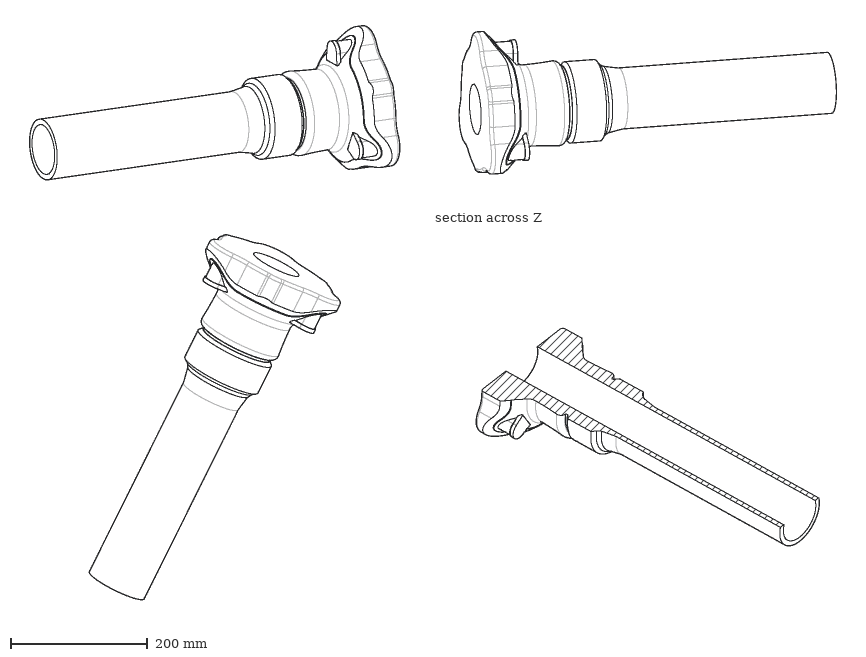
import cadquery as cq
import math


TOTAL_LENGTH = 533.51
PIPE_DIAMETER = 90.0
BORE_DIAMETER = 73.6

LOBE_COUNT = 3
LOBE_STEP = 360.0 / LOBE_COUNT
LOBE_TIP_RADIUS = 117.4
LOBE_RADIUS = 34.6
LOBE_FILLET = 46.0
FLANGE_RADIUS = 93.6
POINT_TIP_RADIUS = 96.45
POINT_RADIUS = 20.0
POINT_FILLET = 10.0
BACK_EDGE_FILLET = 5.0
FIRST_LOBE_ANGLE = 90.0

RIM_CONE_DEPTH = 131.0
HUB_STEP = 1.4
HUB_CONE_DEPTH = RIM_CONE_DEPTH - HUB_STEP
RIM_WIDTH = 12.0

LUG_RADIUS = 13.8
LUG_TIP_RADIUS = 100.4
LUG_PLATE_RADIUS = 15.4
LUG_PLATE_FOOT_WIDTH = 34.5
LUG_FOOT_RADIUS = 69.0
LUG_START_DEPTH = 20.0
LUG_PLATE_DEPTH = 53.7
LUG_END_DEPTH = 60.3

NECK_RADIUS = 60.0
NECK_FILLET_START = 64.8
NECK_FILLET_END = 77.7
NECK_FILLET_MIDDLE = (61.0, -70.5)
BULGE_RADIUS = 62.5
BULGE_RISE_MIDDLE = (60.8, -99.0)
BULGE_DEPTH = 119.7
BULGE_EDGE_MIDDLE = (60.4, -126.7)
BULGE_END_RADIUS = 55.0
BULGE_END_DEPTH = 129.3
GROOVE_RADIUS = 107.0 / 2
GROOVE_END_DEPTH = 133.5
COLLAR_RADIUS = 120.0 / 2
COLLAR_START_DEPTH = 138.9
COLLAR_END_DEPTH = 183.5
COLLAR_EDGE = 5.2
COLLAR_FOOT_RADIUS = 53.3
COLLAR_FOOT_DEPTH = 188.6
FLARE_DEPTH = 195.0
FLARE_RADIUS = 49.5
FLARE_MIDDLE = (47.1, -207.0)
FLARE_END_DEPTH = 219.0


def around_axis(solid):
    """One copy of the solid for each lobe."""
    return [solid.rotate((0, 0, 0), (0, 1, 0), i * LOBE_STEP) for i in range(LOBE_COUNT)]


def polar(radius, angle):
    """Point (X, Z) at a radius from the axis and an angle in degrees from +X toward +Z."""
    return radius * math.cos(math.radians(angle)), radius * math.sin(math.radians(angle))


def toward(start, target, length):
    """Point at a length from the start in the direction of the target."""
    share = length / math.dist(start, target)
    return start[0] + share * (target[0] - start[0]), start[1] + share * (target[1] - start[1])


def midpoint(start, end):
    return (start[0] + end[0]) / 2, (start[1] + end[1]) / 2


def hollow_arc(circle_radius, angle, tip_radius, bump_radius, fillet, side):
    """Arc tangent to a circle around the axis and to a round bump on it.

    side is -1 before the bump and +1 after it. Returns the end on the circle, the middle of
    the arc and the end on the bump.
    """
    bump_distance = tip_radius - bump_radius
    arc_distance = circle_radius + fillet
    cosine = (arc_distance**2 + bump_distance**2 - (bump_radius + fillet) ** 2) / (
        2 * arc_distance * bump_distance
    )
    arc_angle = angle + side * math.degrees(math.acos(cosine))
    arc_center = polar(arc_distance, arc_angle)
    bump_center = polar(bump_distance, angle)
    circle_end = polar(circle_radius, arc_angle)
    bump_end = toward(bump_center, arc_center, bump_radius)
    middle = toward(arc_center, midpoint(circle_end, bump_end), fillet)
    return circle_end, middle, bump_end


def bumpy_outline(circle_radius, bumps):
    """Closed outline: a circle with bumps, each joined to the circle by hollow arcs.

    Each bump holds its angle, tip radius, own radius and hollow radius, in order of angle.
    """
    start = hollow_arc(circle_radius, *bumps[0], -1)[0]
    outline = cq.Workplane("XZ").moveTo(*start)
    for bump, next_bump in zip(bumps, bumps[1:] + bumps[:1]):
        angle, tip_radius = bump[:2]
        rise_middle, rise_end = hollow_arc(circle_radius, *bump, -1)[1:]
        circle_start, fall_middle, fall_start = hollow_arc(circle_radius, *bump, 1)
        circle_end = hollow_arc(circle_radius, *next_bump, -1)[0]
        circle_middle = toward((0, 0), midpoint(circle_start, circle_end), circle_radius)
        outline = outline.threePointArc(rise_middle, rise_end)
        outline = outline.threePointArc(polar(tip_radius, angle), fall_start)
        outline = outline.threePointArc(fall_middle, circle_start)
        outline = outline.threePointArc(circle_middle, circle_end)
    return outline.close()


def flange_outline():
    """Lobes and small points in turn around the flange circle."""
    bumps = []
    for i in range(LOBE_COUNT):
        angle = FIRST_LOBE_ANGLE + i * LOBE_STEP
        bumps.append((angle, LOBE_TIP_RADIUS, LOBE_RADIUS, LOBE_FILLET))
        bumps.append((angle + LOBE_STEP / 2, POINT_TIP_RADIUS, POINT_RADIUS, POINT_FILLET))
    return bumpy_outline(FLANGE_RADIUS, bumps)


def hub_outline():
    """Flange outline moved inward by the rim width, without the small points."""
    bumps = [
        (
            FIRST_LOBE_ANGLE + i * LOBE_STEP,
            LOBE_TIP_RADIUS - RIM_WIDTH,
            LOBE_RADIUS - RIM_WIDTH,
            LOBE_FILLET + RIM_WIDTH,
        )
        for i in range(LOBE_COUNT)
    ]
    return bumpy_outline(FLANGE_RADIUS - RIM_WIDTH, bumps)


def cone(apex_depth):
    """45 degree cone whose base lies at Y = 0 and whose apex points toward -Y."""
    profile = cq.Workplane("XY").polyline([(0, 0), (apex_depth, 0), (0, -apex_depth)])
    return profile.close().revolve(360, (0, 0, 0), (0, 1, 0))


def make_flange():
    """Lobed plate with a conical front: a rim and, slightly behind it, the hub face."""
    flange = flange_outline().extrude(NECK_FILLET_START)
    flange = flange.faces(">Y").edges().fillet(BACK_EDGE_FILLET)
    flange = flange.intersect(cone(RIM_CONE_DEPTH))
    recess = hub_outline().extrude(NECK_FILLET_START).cut(cone(HUB_CONE_DEPTH))
    return flange.cut(recess)


def make_lug():
    """Lug along +Z with a round outer end, ended by a wider plate."""
    body_top = LUG_TIP_RADIUS - LUG_RADIUS
    body = (
        cq.Workplane("XZ", origin=(0, -LUG_START_DEPTH, 0))
        .moveTo(-LUG_RADIUS, LUG_FOOT_RADIUS)
        .lineTo(LUG_RADIUS, LUG_FOOT_RADIUS)
        .lineTo(LUG_RADIUS, body_top)
        .threePointArc((0, LUG_TIP_RADIUS), (-LUG_RADIUS, body_top))
        .close()
        .extrude(LUG_END_DEPTH - LUG_START_DEPTH)
    )
    plate = (
        cq.Workplane("XZ", origin=(0, -LUG_PLATE_DEPTH, 0))
        .moveTo(-LUG_PLATE_FOOT_WIDTH / 2, LUG_FOOT_RADIUS)
        .lineTo(LUG_PLATE_FOOT_WIDTH / 2, LUG_FOOT_RADIUS)
        .lineTo(LUG_PLATE_RADIUS, body_top)
        .threePointArc((0, body_top + LUG_PLATE_RADIUS), (-LUG_PLATE_RADIUS, body_top))
        .close()
        .extrude(LUG_END_DEPTH - LUG_PLATE_DEPTH)
    )
    return body.union(plate)


def make_shaft():
    """Neck, bulge, groove, collar, flare and pipe in one profile of revolution."""
    pipe_radius = PIPE_DIAMETER / 2
    profile = (
        cq.Workplane("XY")
        .lineTo(HUB_CONE_DEPTH - NECK_FILLET_START, 0)
        .lineTo(HUB_CONE_DEPTH - NECK_FILLET_START, -NECK_FILLET_START)
        .threePointArc(NECK_FILLET_MIDDLE, (NECK_RADIUS, -NECK_FILLET_END))
        .threePointArc(BULGE_RISE_MIDDLE, (BULGE_RADIUS, -BULGE_DEPTH))
        .threePointArc(BULGE_EDGE_MIDDLE, (BULGE_END_RADIUS, -BULGE_END_DEPTH))
        .lineTo(GROOVE_RADIUS, -BULGE_END_DEPTH)
        .lineTo(GROOVE_RADIUS, -GROOVE_END_DEPTH)
        .lineTo(COLLAR_RADIUS - COLLAR_EDGE, -GROOVE_END_DEPTH)
        .lineTo(COLLAR_RADIUS, -COLLAR_START_DEPTH)
        .lineTo(COLLAR_RADIUS, -COLLAR_END_DEPTH)
        .lineTo(COLLAR_FOOT_RADIUS, -COLLAR_FOOT_DEPTH)
        .lineTo(FLARE_RADIUS, -FLARE_DEPTH)
        .threePointArc(FLARE_MIDDLE, (pipe_radius, -FLARE_END_DEPTH))
        .lineTo(pipe_radius, -TOTAL_LENGTH)
        .lineTo(0, -TOTAL_LENGTH)
        .close()
    )
    return profile.revolve(360, (0, 0, 0), (0, 1, 0))


def make_bore():
    return cq.Workplane("XZ").circle(BORE_DIAMETER / 2).extrude(TOTAL_LENGTH)


result = make_flange().union(make_shaft())
for lug in around_axis(make_lug()):
    result = result.union(lug)
result = result.cut(make_bore())